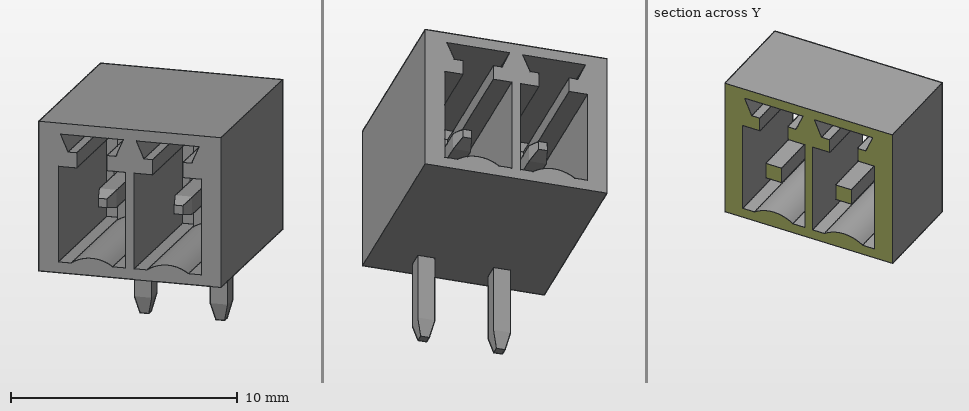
import cadquery as cq

HOUSING_WIDTH = 8.4
HOUSING_DEPTH = 9.2
TOTAL_HEIGHT = 10.9
LEG_LENGTH = 4.0
HOUSING_HEIGHT = TOTAL_HEIGHT - LEG_LENGTH

PITCH = 3.5
FIRST_POLE_X = (HOUSING_WIDTH - PITCH) / 2
POLE_POSITIONS = [FIRST_POLE_X, FIRST_POLE_X + PITCH]

FLOOR_THICKNESS = 0.5
CAVITY_WIDTH = 3.1
CAVITY_HEIGHT = 4.4
CAVITY_DEPTH = 7.19
CAVITY_TOP = FLOOR_THICKNESS + CAVITY_HEIGHT

ROOF_THICKNESS = 0.5
DOVETAIL_HEIGHT = 0.8
DOVETAIL_TOP_WIDTH = 2.9
DOVETAIL_BOTTOM_WIDTH = 2.2
SLOT_WIDTH = 1.4
DOVETAIL_TOP = HOUSING_HEIGHT - ROOF_THICKNESS
DOVETAIL_BOTTOM = DOVETAIL_TOP - DOVETAIL_HEIGHT

RIDGE_WIDTH = 1.92
RIDGE_HEIGHT = 0.3

RIB_WIDTH = 1.8
RIB_THICKNESS = 0.5
COLLAR_DIAMETER = RIB_WIDTH
COLLAR_LENGTH = 0.5
RIB_FACE_Y = CAVITY_DEPTH - RIB_THICKNESS

PIN_SIZE = 0.8
PIN_TIP_SIZE = 0.4
PIN_TAPER_LENGTH = 0.8
PIN_Z = 2.89
PIN_TIP_Y = 1.6
LEG_Y = HOUSING_DEPTH - 1.2


def box_between(width, x, y_start, y_end, z_start, z_end):
    """Box centred on x, spanning the given Y and Z ranges."""
    box = cq.Workplane("XY").box(width, y_end - y_start, z_end - z_start, centered=(True, False, False))
    return box.translate((x, y_start, z_start))


def cavity_with_keyway(x):
    """Space for one plug pole: cavity, slot and dovetail in a single outline."""
    right_half = [
        (CAVITY_WIDTH / 2, FLOOR_THICKNESS),
        (CAVITY_WIDTH / 2, CAVITY_TOP),
        (SLOT_WIDTH / 2, CAVITY_TOP),
        (SLOT_WIDTH / 2, DOVETAIL_BOTTOM),
        (DOVETAIL_BOTTOM_WIDTH / 2, DOVETAIL_BOTTOM),
        (DOVETAIL_TOP_WIDTH / 2, DOVETAIL_TOP),
    ]
    left_half = [(-across, z) for across, z in reversed(right_half)]
    outline = [(x + across, z) for across, z in right_half + left_half]
    return cq.Workplane("XZ").polyline(outline).close().extrude(-CAVITY_DEPTH)


def floor_ridge(x):
    """Low arched ridge running the length of the cavity floor."""
    return (
        cq.Workplane("XZ")
        .moveTo(x - RIDGE_WIDTH / 2, FLOOR_THICKNESS)
        .threePointArc(
            (x, FLOOR_THICKNESS + RIDGE_HEIGHT),
            (x + RIDGE_WIDTH / 2, FLOOR_THICKNESS),
        )
        .close()
        .extrude(-CAVITY_DEPTH)
    )


def rear_rib(x):
    """Upright rib on the rear wall, reaching up to the dovetail."""
    return box_between(RIB_WIDTH, x, RIB_FACE_Y, CAVITY_DEPTH, FLOOR_THICKNESS, DOVETAIL_BOTTOM)


def pin_collar(x):
    """Round collar standing forward from the rib around the pin."""
    collar = cq.Workplane("XZ").circle(COLLAR_DIAMETER / 2).extrude(COLLAR_LENGTH)
    return collar.translate((x, RIB_FACE_Y, PIN_Z))


def square_pin(length):
    """Square pin pointing down, its blunt end at Z = 0 and its tapered tip at Z = -length."""
    shank = cq.Workplane("XY").rect(PIN_SIZE, PIN_SIZE).extrude(PIN_TAPER_LENGTH - length)
    taper = (
        cq.Workplane("XY")
        .workplane(offset=PIN_TAPER_LENGTH - length)
        .rect(PIN_SIZE, PIN_SIZE)
        .workplane(offset=-PIN_TAPER_LENGTH)
        .rect(PIN_TIP_SIZE, PIN_TIP_SIZE)
        .loft()
    )
    return shank.union(taper)


def bent_pin(x):
    """Contact pointing out of the cavity, bent down into a leg behind it."""
    bend_y = LEG_Y + PIN_SIZE / 2
    bend_z = PIN_Z + PIN_SIZE / 2
    contact = square_pin(bend_y - PIN_TIP_Y).rotate((0, 0, 0), (1, 0, 0), -90)
    leg = square_pin(bend_z + LEG_LENGTH)
    return contact.translate((x, bend_y, PIN_Z)).union(leg.translate((x, LEG_Y, bend_z)))


result = cq.Workplane("XY").box(HOUSING_WIDTH, HOUSING_DEPTH, HOUSING_HEIGHT, centered=False)
for pole_x in POLE_POSITIONS:
    result = result.cut(cavity_with_keyway(pole_x))
    result = result.union(floor_ridge(pole_x))
    result = result.union(rear_rib(pole_x))
    result = result.union(pin_collar(pole_x))
    result = result.union(bent_pin(pole_x))